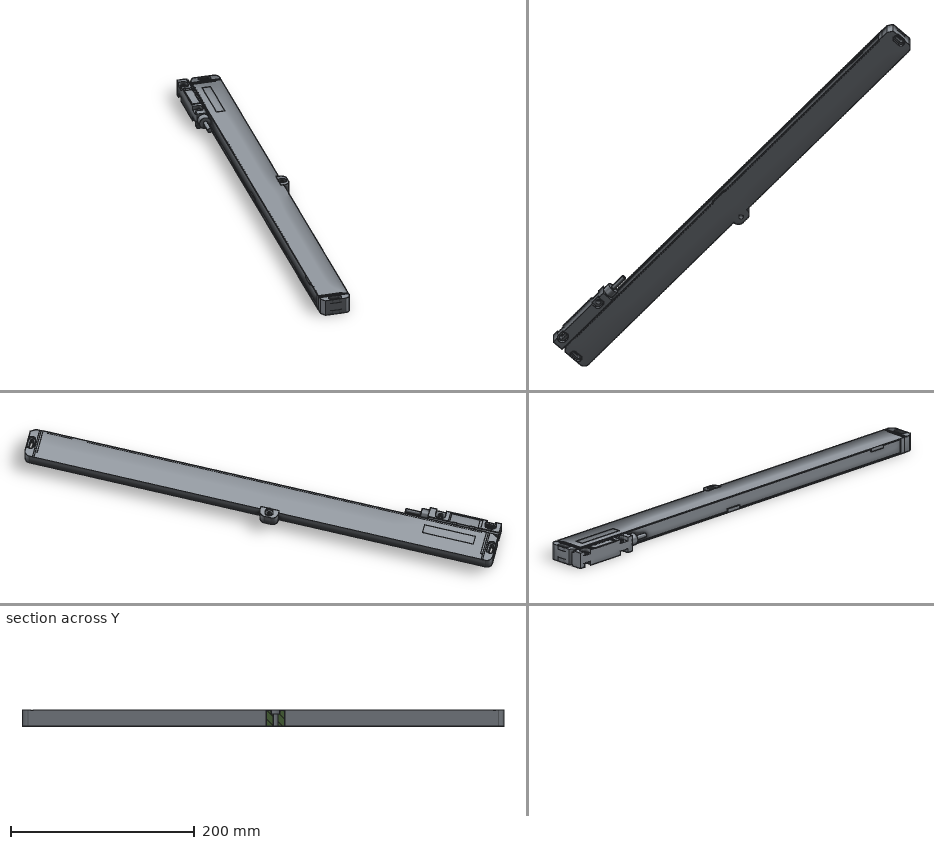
import cadquery as cq

HEIGHT = 18.0
ENGRAVING_DEPTH = 0.3
RECESS_DEPTH = 4.5

HEAD_LENGTH = 80.0
HEAD_DEPTH = 13.0
LEDGE_WIDTH = 2.2
LEDGE_DROP = 2.0
LEDGE_PADS = [(27.0, 33.0), (47.5, 52.0)]
PANEL_START, PANEL_END = 20.6, 57.0
PANEL_FLOOR_START, PANEL_FLOOR_END = 23.7, 55.5
PANEL_FRONT = 1.2
PANEL_SHELF_DROP = 0.5
PANEL_FLOOR_DROP = 1.0
HEAD_SLOT_X, HEAD_SLOT_Y = 11.1, 4.0
HEAD_SLOT_LENGTH = 9.5
HEAD_SLOT_WIDTH = 4.2
HEAD_RECESS_LENGTH = 12.6
HEAD_RECESS_WIDTH = 10.4
HEAD_HOLE_X, HEAD_HOLE_Y = 67.2, 4.7
HEAD_HOLE_DIAMETER = 5.5
POCKET_WIDTH = 11.0
POCKET_DEPTH = 9.5
POCKET_CORNER_RADIUS = 3.2

CABLE_Y, CABLE_Z = 6.8, 10.2
GLAND_RADIUS = 6.6
GLAND_LENGTH = 8.5
CABLE_RADIUS = 2.4
CABLE_LENGTH = 17.5

GAP = 0.5
SCALE_LENGTH = 525.0
SCALE_WIDTH = 33.0
SCALE_FRONT = HEAD_DEPTH + GAP
SCALE_BACK = SCALE_FRONT + SCALE_WIDTH
SCALE_MID_Y = (SCALE_FRONT + SCALE_BACK) / 2
BACK_CORNER_RADIUS = 6.3
FRONT_CHAMFER_X, FRONT_CHAMFER_Y = 6.2, 4.0
CAP_LENGTH = 13.5
CAP_INSET = 0.3
SEAM_START = 9.7
SEAM_STEP = 11.4
SEAM_DEPTH = 0.6
SEAM_SHALLOW_DEPTH = 0.3
SEAM_BACK_MARGIN = 6.5
CAP_WALL = 0.4
CAP_SLOT_X = 4.2
CAP_SLOT_WIDTH = 3.8
CAP_SLOT_LENGTH = 11.0
CAP_RECESS_WIDTH = 7.8
CAP_RECESS_LENGTH = 14.0
CAP_RECESS_CORNER_RADIUS = 3.0

CHANNEL_END_MARGIN = 19.0
CHANNEL_RIM = 1.2
CHANNEL_DEPTH = 1.5
BRIDGE_HEIGHT = 3.0
BRIDGE_LENGTH = 18.0
LOWER_BRIDGE_X = 240.5
UPPER_BRIDGE_X = 461.0

LABEL_X, LABEL_LENGTH = 24.0, 57.0
LABEL_Y, LABEL_WIDTH = 21.5, 9.5

LUG_X = 249.1
LUG_WIDTH = 20.6
LUG_BACK = 54.0
LUG_FRONT = SCALE_BACK - 3.0
LUG_DROP = 0.4
LUG_CORNER_RADIUS = 6.5
LUG_HOLE_Y = 47.8
LUG_HOLE_DIAMETER = 5.0
LUG_BORE_DIAMETER = 9.0


def box(x0, x1, y0, y1, z0, z1):
    """Block between two opposite corners."""
    return cq.Workplane("XY").box(x1 - x0, y1 - y0, z1 - z0, centered=False).translate((x0, y0, z0))


def slot(x, y, length, width, angle, height):
    """Round-ended slot standing on the bottom plane."""
    return cq.Workplane("XY", origin=(x, y, 0)).slot2D(length, width, angle).extrude(height)


def from_both_sides(recess):
    """A recess cut from below, together with its copy cut from above."""
    return recess.union(recess.translate((0, 0, HEIGHT - RECESS_DEPTH)))


def head_slotted_hole():
    """Through slot with a wider slotted recess above and below, open to the front."""
    recess = slot(HEAD_SLOT_X, HEAD_SLOT_Y, HEAD_RECESS_LENGTH, HEAD_RECESS_WIDTH, 0, RECESS_DEPTH)
    through = slot(HEAD_SLOT_X, HEAD_SLOT_Y, HEAD_SLOT_LENGTH, HEAD_SLOT_WIDTH, 0, HEIGHT)
    return through.union(from_both_sides(recess))


def head_round_hole():
    """Round through hole with pockets above and below, open to the front."""
    hole = (
        cq.Workplane("XY", origin=(HEAD_HOLE_X, HEAD_HOLE_Y, 0))
        .circle(HEAD_HOLE_DIAMETER / 2)
        .extrude(HEIGHT)
    )
    left = HEAD_HOLE_X - POCKET_WIDTH / 2
    right = HEAD_HOLE_X + POCKET_WIDTH / 2
    pocket = box(left, right, 0, POCKET_DEPTH, 0, RECESS_DEPTH)
    pocket = pocket.edges("|Z and >Y").fillet(POCKET_CORNER_RADIUS)
    return hole.union(from_both_sides(pocket))


def head_panel():
    """Shallow stepped panel in the top of the head: a shelf with a deeper floor inside."""
    panel_back = HEAD_DEPTH - LEDGE_WIDTH
    shelf = box(PANEL_START, PANEL_END, PANEL_FRONT, panel_back, HEIGHT - PANEL_SHELF_DROP, HEIGHT)
    floor = box(PANEL_FLOOR_START, PANEL_FLOOR_END, PANEL_FRONT, panel_back,
                HEIGHT - PANEL_FLOOR_DROP, HEIGHT)
    return shelf.union(floor)


def head_ledge():
    """Lowered strip along the back, interrupted by pads at full height."""
    ledge_front = HEAD_DEPTH - LEDGE_WIDTH
    ledge = box(0, HEAD_LENGTH, ledge_front, HEAD_DEPTH, HEIGHT - LEDGE_DROP, HEIGHT)
    for start, end in LEDGE_PADS:
        ledge = ledge.cut(box(start, end, ledge_front, HEAD_DEPTH, 0, HEIGHT))
    return ledge


def cable_outlet():
    """Round gland with a short piece of cable."""
    outlet = cq.Workplane("YZ", origin=(HEAD_LENGTH, CABLE_Y, CABLE_Z))
    gland = outlet.circle(GLAND_RADIUS).extrude(GLAND_LENGTH)
    cable = outlet.circle(CABLE_RADIUS).extrude(GLAND_LENGTH + CABLE_LENGTH)
    return gland.union(cable)


def make_reading_head():
    head = box(0, HEAD_LENGTH, 0, HEAD_DEPTH, 0, HEIGHT)
    head = head.cut(head_slotted_hole())
    head = head.cut(head_round_hole())
    head = head.cut(head_panel())
    head = head.cut(head_ledge())
    return head.union(cable_outlet())


def scale_blank():
    """Full-height bar with rounded back corners and chamfered front corners."""
    chamfer_y = SCALE_FRONT + FRONT_CHAMFER_Y
    bar = (
        cq.Workplane("XY")
        .moveTo(FRONT_CHAMFER_X, SCALE_FRONT)
        .lineTo(SCALE_LENGTH - FRONT_CHAMFER_X, SCALE_FRONT)
        .lineTo(SCALE_LENGTH, chamfer_y)
        .lineTo(SCALE_LENGTH, SCALE_BACK)
        .lineTo(0, SCALE_BACK)
        .lineTo(0, chamfer_y)
        .close()
        .extrude(HEIGHT)
    )
    return bar.edges("|Z and >Y").fillet(BACK_CORNER_RADIUS)


def cap_hole():
    """Slot through the left cap with a rounded recess above and below."""
    half_length = CAP_RECESS_LENGTH / 2
    recess = box(CAP_WALL, CAP_WALL + CAP_RECESS_WIDTH,
                 SCALE_MID_Y - half_length, SCALE_MID_Y + half_length, 0, RECESS_DEPTH)
    recess = recess.edges("|Z").fillet(CAP_RECESS_CORNER_RADIUS)
    through = slot(CAP_SLOT_X, SCALE_MID_Y, CAP_SLOT_LENGTH, CAP_SLOT_WIDTH, 90, HEIGHT)
    return through.union(from_both_sides(recess))


def left_cap_cutters():
    """Mounting hole, stepped seam and front inset of the left end cap."""
    deep_seam = box(SEAM_START, SEAM_STEP, SCALE_FRONT, SCALE_BACK, HEIGHT - SEAM_DEPTH, HEIGHT)
    shallow_seam = box(SEAM_STEP, CAP_LENGTH, SCALE_FRONT, SCALE_BACK - SEAM_BACK_MARGIN,
                       HEIGHT - SEAM_SHALLOW_DEPTH, HEIGHT)
    inset = box(0, CAP_LENGTH, SCALE_FRONT, SCALE_FRONT + CAP_INSET, 0, HEIGHT)
    return cap_hole().union(deep_seam).union(shallow_seam).union(inset)


def sensing_channel():
    """Shallow channel in the front face, with a bridge left at each rim."""
    back = SCALE_FRONT + CHANNEL_DEPTH
    bottom, top = CHANNEL_RIM, HEIGHT - CHANNEL_RIM
    channel = box(CHANNEL_END_MARGIN, SCALE_LENGTH - CHANNEL_END_MARGIN, SCALE_FRONT, back, bottom, top)
    bridges = [
        (LOWER_BRIDGE_X, bottom),
        (UPPER_BRIDGE_X, top - BRIDGE_HEIGHT),
    ]
    for x, z in bridges:
        channel = channel.cut(box(x, x + BRIDGE_LENGTH, SCALE_FRONT, back, z, z + BRIDGE_HEIGHT))
    return channel


def lug_block(height):
    """Lug outline with rounded back corners, raised to a height."""
    left, right = LUG_X - LUG_WIDTH / 2, LUG_X + LUG_WIDTH / 2
    block = box(left, right, LUG_FRONT, LUG_BACK, 0, height)
    return block.edges("|Z and >Y").fillet(LUG_CORNER_RADIUS)


def lug_hole():
    """Counterbored through hole of the lug."""
    start = cq.Workplane("XY", origin=(LUG_X, LUG_HOLE_Y, 0))
    bore = start.workplane(offset=HEIGHT - RECESS_DEPTH).circle(LUG_BORE_DIAMETER / 2).extrude(RECESS_DEPTH)
    return start.circle(LUG_HOLE_DIAMETER / 2).extrude(HEIGHT).union(bore)


def make_scale():
    scale = scale_blank()
    left_cap = left_cap_cutters()
    right_cap = left_cap.mirror("YZ", (SCALE_LENGTH / 2, 0, 0))
    for cutter in (left_cap, right_cap, sensing_channel()):
        scale = scale.cut(cutter)

    label = box(LABEL_X, LABEL_X + LABEL_LENGTH, LABEL_Y, LABEL_Y + LABEL_WIDTH,
                HEIGHT - ENGRAVING_DEPTH, HEIGHT)
    scale = scale.cut(label)

    lug_height = HEIGHT - LUG_DROP
    scale = scale.cut(lug_block(HEIGHT)).union(lug_block(lug_height))
    return scale.cut(lug_hole())


reading_head = make_reading_head()
scale = make_scale()

result = cq.Compound.makeCompound([reading_head.val(), scale.val()])